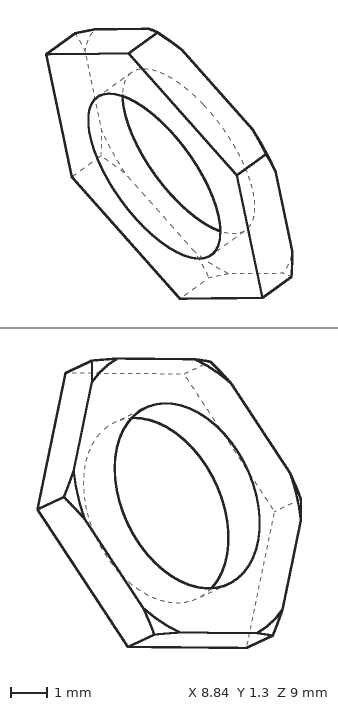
import cadquery as cq
import math

across_flats = 8.0
thickness = 1.3
bore_diameter = 5.4
tilt_angle = 13.1
corner_chamfer = 0.2
chamfer_angle = 30.0

corner_radius = across_flats / math.sqrt(3)
corner_count = 6
corner_step = 360 / corner_count


def corner_point(index):
    """Point (x, z) of one hexagon corner."""
    angle = math.radians(90 + tilt_angle + index * corner_step)
    return corner_radius * math.cos(angle), corner_radius * math.sin(angle)


def hexagon_plate():
    """Hexagonal plate centred on the Y axis, from y = 0 to y = thickness."""
    corners = [corner_point(i) for i in range(corner_count)]
    return cq.Workplane("XZ").polyline(corners).close().extrude(-thickness)


def chamfer_envelope():
    """Turned blank whose cone bevels the corners on the +Y face."""
    face_radius = corner_radius - corner_chamfer / math.tan(math.radians(chamfer_angle))
    profile = [
        (0, 0),
        (corner_radius, 0),
        (corner_radius, thickness - corner_chamfer),
        (face_radius, thickness),
        (0, thickness),
    ]
    return cq.Workplane("XY").polyline(profile).close().revolve(360, (0, 0), (0, 1))


def bore():
    """Cylinder removed for the central through hole."""
    return cq.Workplane("XZ").circle(bore_diameter / 2).extrude(-thickness)


result = hexagon_plate().intersect(chamfer_envelope()).cut(bore())